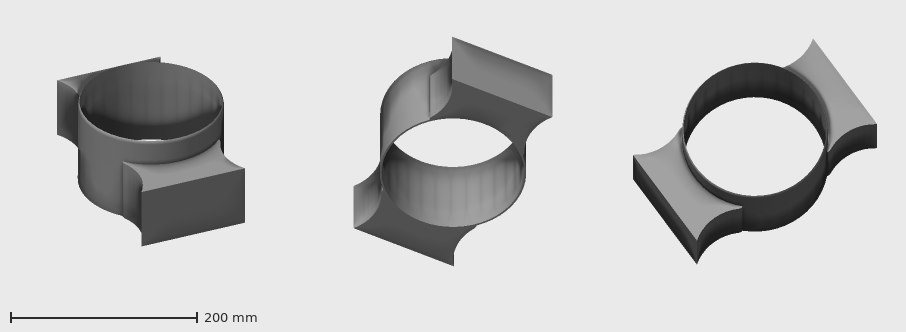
import cadquery as cq
import math

ring_height = 99.5
outer_radius_bottom = 78.7
outer_radius_shoulder = 78.3
bore_radius_bottom = 76.6
bore_radius_top = 76.9
rim_height = 3.8
shoulder_z = ring_height - rim_height

wing_end_x = 235.8 / 2
wing_height = 70.0
flank_radius = 54.2
flank_center_x = 85.3
waist_half_width = 49.5
blend_start_x = 60.4
blend_radius = 7.0


def make_ring_blank():
    """Revolve the outside of the ring, with the rim arc ending at the bore edge."""
    rim_width = outer_radius_shoulder - bore_radius_top
    rim_radius = (rim_height**2 + rim_width**2) / (2 * rim_width)
    half_angle = math.asin(rim_height / rim_radius) / 2
    rim_mid = (
        outer_radius_shoulder - rim_radius * (1 - math.cos(half_angle)),
        shoulder_z + rim_radius * math.sin(half_angle),
    )
    return (
        cq.Workplane("XZ")
        .lineTo(outer_radius_bottom, 0)
        .lineTo(outer_radius_shoulder, shoulder_z)
        .threePointArc(rim_mid, (bore_radius_top, ring_height))
        .lineTo(0, ring_height)
        .close()
        .revolve(360, (0, 0), (0, 1))
    )


def make_bore():
    """Return the slightly conical volume inside the ring."""
    return (
        cq.Workplane("XZ")
        .lineTo(bore_radius_bottom, 0)
        .lineTo(bore_radius_top, ring_height)
        .lineTo(0, ring_height)
        .close()
        .revolve(360, (0, 0), (0, 1))
    )


def make_wing():
    """Extrude the +X wing; its inner end reaches into the ring wall."""
    flank_center_y = waist_half_width + flank_radius

    def flank_y(x):
        return flank_center_y - math.sqrt(flank_radius**2 - (x - flank_center_x) ** 2)

    blend_start_y = flank_y(blend_start_x)
    sine = (flank_center_x - blend_start_x) / flank_radius
    cosine = math.sqrt(1 - sine**2)
    blend_peak_x = blend_start_x - blend_radius * sine
    blend_peak_y = blend_start_y + blend_radius * (1 - cosine)
    blend_end_x = 2 * blend_peak_x - blend_start_x
    end_y = flank_y(wing_end_x)

    return (
        cq.Workplane("XY")
        .moveTo(wing_end_x, -end_y)
        .lineTo(wing_end_x, end_y)
        .threePointArc((flank_center_x, waist_half_width), (blend_start_x, blend_start_y))
        .threePointArc((blend_peak_x, blend_peak_y), (blend_end_x, blend_start_y))
        .lineTo(blend_end_x, -blend_start_y)
        .threePointArc((blend_peak_x, -blend_peak_y), (blend_start_x, -blend_start_y))
        .threePointArc((flank_center_x, -waist_half_width), (wing_end_x, -end_y))
        .close()
        .extrude(wing_height)
    )


wing = make_wing()
result = make_ring_blank().union(wing).union(wing.mirror("YZ")).cut(make_bore())